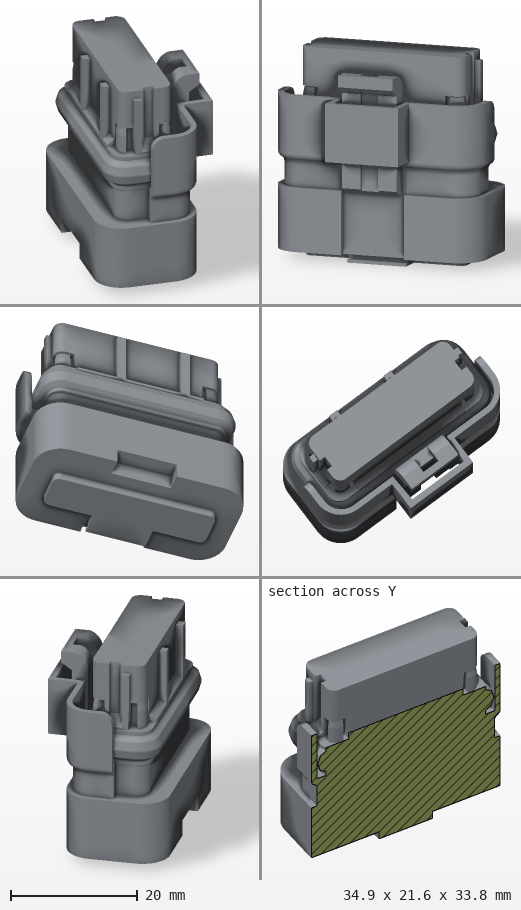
import cadquery as cq
import math

base_bottom_z = 1.43
base_top_z = 11.75
shroud_floor_z = 17.35
shroud_top_z = 26.63
collar_top_z = 23.05
rib_top_z = 32.45
core_top_z = 33.8

base_length = 34.9
base_depth = 16.7
base_radius = 4.55
notch_width = 9.98
notch_top_z = 4.05
notch_depth = 2.8

plug_length = 27.1
plug_depth = 6.07
plug_radius = 1.05
tongue_width = 9.98
tongue_end_y = 5.62
lip_end_y = 6.7
lip_height = 0.5

neck_length = 29.65
neck_depth = 10.0
collar_length = 30.1
collar_depth = 11.03
collar_radius = 2.35
core_length = 27.57
core_depth = 8.65
core_radius = 1.5

wedge_toe_z = 23.42
wedge_half_length = 10.65
wedge_rise = 0.9
side_wedge_reach = 14.7
side_wedge_half_depth = 2.13
side_wedge_top_z = 25.0
side_rib_width = 1.1
front_ribs = ((-3.25, 1.43), (7.45, 1.55))
end_slot_depth = 0.98
end_slot_width = 1.85
end_slot_y = 0.45

recess_top_z = 27.43
recess_flare = 0.2
recess_depth = 1.1
pillar_radius = 0.7
post_inner_x = 11.45
post_inner_y = 2.8
post_back_y = 3.35
post_shoulder_z = 26.0
post_top_z = 27.22
post_taper = 11.0

seal_mid_z = 20.2
seal_steps = ((0.0, 2.15), (0.95, 1.5), (1.0, 1.35), (1.4, 0.1))

shroud_inner_length = 32.75
shroud_inner_y = 7.45
shroud_inner_radius = 3.35
shroud_nose_radius = 1.95
waist_inset = 1.0
waist_curve_top_z = 17.15
waist_curve_bottom_z = 15.43

tower_width = 12.32
tower_end_y = 13.25
tower_bottom_z = 17.25
tower_wall = 1.0
slot_outer_width = 10.2
slot_inner_width = 10.75
slot_inner_y = 7.1
latch_width = 9.2
latch_outer_y = 9.77
latch_hook_y = 11.5
latch_top_z = 30.95
latch_nose_z = 29.07
latch_hook_root_z = 27.9
latch_back_top_y = 9.15
latch_back_middle = (8.03, 30.35)
latch_back_bottom_z = 28.72
latch_foot_y = base_depth / 2
latch_foot_z = 12.53
window_width = 3.0
window_outer_y = 10.45
window_step_y = 9.18
window_step_z = 28.6


def rounded_block(length, depth, radius, bottom_z, top_z):
    """Upright block with rounded vertical edges, centred on the Z axis."""
    block = cq.Workplane("XY").workplane(offset=bottom_z).rect(length, depth)
    return block.extrude(top_z - bottom_z).edges("|Z").fillet(radius)


def box_between(x0, x1, y0, y1, z0, z1):
    """Axis-aligned box given by its limits."""
    return cq.Workplane("XY").box(x1 - x0, y1 - y0, z1 - z0, centered=False).translate((x0, y0, z0))


def four_corners(corner):
    """The given corner shape together with its mirror images in X and Y."""
    pair = corner.union(corner.mirror("YZ"))
    return pair.union(pair.mirror("XZ"))


def make_base():
    base = rounded_block(base_length, base_depth, base_radius, base_bottom_z, base_top_z)
    half_notch = notch_width / 2
    front_y = -base_depth / 2
    notch = box_between(-half_notch, half_notch, front_y, front_y + notch_depth, base_bottom_z, notch_top_z)
    return base.cut(notch)


def make_plug():
    plug = rounded_block(plug_length, plug_depth, plug_radius, 0, base_bottom_z)
    half_tongue = tongue_width / 2
    tongue = box_between(-half_tongue, half_tongue, 0, tongue_end_y, 0, base_bottom_z)
    lip = box_between(-half_tongue, half_tongue, 0, lip_end_y, 0, lip_height)
    return plug.union(tongue).union(lip)


def seal_outline(offset):
    """Closed rounded rectangle lying outside the collar by the given offset."""
    outline = cq.Sketch().rect(collar_length + 2 * offset, collar_depth + 2 * offset)
    return outline.vertices().fillet(collar_radius + offset)


def make_seal():
    lower_half = [(offset, -height) for offset, height in seal_steps]
    levels = lower_half + list(reversed(seal_steps))
    seal = cq.Workplane("XY")
    for (offset_a, z_a), (offset_b, z_b) in zip(levels, levels[1:]):
        layer = cq.Workplane("XY").placeSketch(
            seal_outline(offset_a).moved(cq.Location(cq.Vector(0, 0, seal_mid_z + z_a))),
            seal_outline(offset_b).moved(cq.Location(cq.Vector(0, 0, seal_mid_z + z_b))),
        )
        seal = seal.union(layer.loft(ruled=True))
    return seal


def make_wedges():
    """Sloped skirts where the connector body meets the collar."""
    toe_y = collar_depth / 2
    long_wedge = (
        cq.Workplane("YZ").workplane(offset=-wedge_half_length)
        .polyline([
            (-toe_y, collar_top_z), (-toe_y, wedge_toe_z),
            (-core_depth / 2, wedge_toe_z + wedge_rise),
            (core_depth / 2, wedge_toe_z + wedge_rise),
            (toe_y, wedge_toe_z), (toe_y, collar_top_z),
        ]).close().extrude(2 * wedge_half_length)
    )
    slot_floor_x = core_length / 2 - end_slot_depth
    end_wedges = (
        cq.Workplane("XZ").workplane(offset=-side_wedge_half_depth)
        .polyline([
            (-side_wedge_reach, collar_top_z), (-side_wedge_reach, wedge_toe_z),
            (-slot_floor_x, side_wedge_top_z), (slot_floor_x, side_wedge_top_z),
            (side_wedge_reach, wedge_toe_z), (side_wedge_reach, collar_top_z),
        ]).close().extrude(2 * side_wedge_half_depth)
    )
    return long_wedge.union(end_wedges)


def make_ribs():
    rib_root_y = -core_depth / 2 + core_radius
    rib_y = -side_wedge_half_depth
    ribs = box_between(
        -side_wedge_reach, side_wedge_reach, rib_y, rib_y + side_rib_width, collar_top_z, rib_top_z
    )
    for centre_x, width in front_ribs:
        left_x = centre_x - width / 2
        ribs = ribs.union(box_between(
            left_x, left_x + width, -collar_depth / 2, rib_root_y, collar_top_z, rib_top_z
        ))
    return ribs


def make_corner_recesses():
    """Flared spaces cut under the four corners, leaving an inset pillar inside."""
    outer_x = collar_length / 2
    outer_y = collar_depth / 2
    height = recess_top_z - collar_top_z

    def corner_rect(inner_x, inner_y):
        rectangle = cq.Sketch().push([((outer_x + inner_x) / 2, (outer_y + inner_y) / 2)])
        return rectangle.rect(outer_x - inner_x, outer_y - inner_y)

    bottom = corner_rect(wedge_half_length - recess_flare / 2, side_wedge_half_depth - recess_flare)
    top = corner_rect(wedge_half_length + recess_flare / 2, side_wedge_half_depth)
    corner = cq.Workplane("XY").placeSketch(bottom, top.moved(cq.Location(cq.Vector(0, 0, height)))).loft()
    recesses = four_corners(corner.translate((0, 0, collar_top_z)))
    pillar_length = core_length - 2 * recess_depth
    pillar_depth = core_depth - 2 * recess_depth
    pillar = rounded_block(pillar_length, pillar_depth, pillar_radius, collar_top_z, recess_top_z)
    return recesses.cut(pillar)


def make_posts():
    """Corner posts standing in the recesses; their outer faces lean inward above a shoulder."""
    outer_x = core_length / 2
    outer_y = core_depth / 2
    round_x = outer_x - core_radius
    round_y = outer_y - core_radius
    back_angle = math.asin((post_back_y - round_y) / core_radius)
    middle_angle = (back_angle + math.pi / 2) / 2

    def on_round(angle):
        return (round_x + core_radius * math.cos(angle), round_y + core_radius * math.sin(angle))

    back_x = outer_x - recess_depth
    outline = (
        cq.Workplane("XY").workplane(offset=collar_top_z)
        .moveTo(post_inner_x, post_inner_y).lineTo(post_inner_x, outer_y).lineTo(round_x, outer_y)
        .threePointArc(on_round(middle_angle), on_round(back_angle))
        .lineTo(back_x, post_inner_y).close()
    )
    posts = four_corners(outline.extrude(post_top_z - collar_top_z))
    shank = rounded_block(core_length, core_depth, core_radius, collar_top_z, post_shoulder_z)
    tip = shank.faces(">Z").wires().toPending().workplane()
    envelope = tip.extrude(post_top_z - post_shoulder_z, taper=post_taper)
    return posts.intersect(envelope)


def make_core():
    neck = rounded_block(neck_length, neck_depth, collar_radius, base_top_z, shroud_floor_z)
    collar = rounded_block(collar_length, collar_depth, collar_radius, shroud_floor_z, collar_top_z)
    body = rounded_block(core_length, core_depth, core_radius, collar_top_z, core_top_z)
    slot_inner_x = core_length / 2 - end_slot_depth
    slot_y = end_slot_y - end_slot_width / 2
    for start_x in (-core_length / 2, slot_inner_x):
        body = body.cut(box_between(
            start_x, start_x + end_slot_depth, slot_y, slot_y + end_slot_width, collar_top_z, core_top_z
        ))
    body = body.union(make_wedges()).union(make_ribs())
    body = body.cut(make_corner_recesses()).union(make_posts())
    return neck.union(collar).union(body).union(make_seal())


def make_waist_groove():
    """Band swept round the shroud; an S-curve leads from the wall to the waist."""
    outer_x = base_length / 2
    outer_y = base_depth / 2
    waist_x = outer_x - waist_inset
    clear_x = outer_x + waist_inset
    middle_z = (waist_curve_top_z + waist_curve_bottom_z) / 2
    section = (
        cq.Workplane("XZ").moveTo(clear_x, base_top_z).lineTo(waist_x, base_top_z)
        .lineTo(waist_x, waist_curve_bottom_z)
        .tangentArcPoint((outer_x - waist_inset / 2, middle_z), relative=False)
        .tangentArcPoint((outer_x, waist_curve_top_z), relative=False)
        .lineTo(clear_x, waist_curve_top_z).close()
    )
    corner_x = outer_x - base_radius
    corner_y = outer_y - base_radius
    diagonal = base_radius * math.sqrt(0.5)
    path = (
        cq.Workplane("XY").moveTo(outer_x, 0).lineTo(outer_x, corner_y)
        .threePointArc((corner_x + diagonal, corner_y + diagonal), (corner_x, outer_y))
        .lineTo(-corner_x, outer_y)
        .threePointArc((-corner_x - diagonal, corner_y + diagonal), (-outer_x, corner_y))
        .lineTo(-outer_x, 0)
    )
    return section.sweep(path)


def make_shroud():
    outer = rounded_block(base_length, base_depth, base_radius, base_top_z, shroud_top_z)
    inner = rounded_block(
        shroud_inner_length, 2 * shroud_inner_y, shroud_inner_radius, shroud_floor_z, shroud_top_z
    )
    nose_z = shroud_top_z - shroud_nose_radius
    side_profile = (
        cq.Workplane("YZ").workplane(offset=-base_length / 2).moveTo(0, base_top_z).lineTo(0, nose_z)
        .tangentArcPoint((shroud_nose_radius, shroud_top_z), relative=False)
        .lineTo(base_depth / 2, shroud_top_z).lineTo(base_depth / 2, base_top_z).close()
        .extrude(base_length)
    )
    half_tower = tower_width / 2
    tower = box_between(-half_tower, half_tower, shroud_inner_y, tower_end_y, tower_bottom_z, shroud_top_z)
    return outer.cut(inner).intersect(side_profile).cut(make_waist_groove()).union(tower)


def make_latch_slot():
    """Tapered opening for the latch, running the full height of tower and base."""
    half_inner = slot_inner_width / 2
    half_outer = slot_outer_width / 2
    outer_y = tower_end_y - tower_wall
    return (
        cq.Workplane("XY").workplane(offset=base_bottom_z)
        .polyline([
            (-half_inner, slot_inner_y), (half_inner, slot_inner_y),
            (half_outer, outer_y), (-half_outer, outer_y),
        ]).close().extrude(shroud_top_z - base_bottom_z)
    )


def make_latch():
    latch = (
        cq.Workplane("YZ").workplane(offset=-latch_width / 2)
        .moveTo(slot_inner_y, base_top_z).lineTo(slot_inner_y, latch_back_bottom_z)
        .threePointArc(latch_back_middle, (latch_back_top_y, latch_top_z))
        .lineTo(latch_hook_y, latch_top_z).lineTo(latch_hook_y, latch_nose_z)
        .lineTo(latch_outer_y, latch_hook_root_z).lineTo(latch_outer_y, latch_foot_z)
        .lineTo(latch_foot_y, base_top_z).close().extrude(latch_width)
    )
    half_window = window_width / 2
    window = box_between(
        -half_window, half_window, window_step_y, window_outer_y, base_top_z, latch_top_z
    )
    step = box_between(
        -half_window, half_window, slot_inner_y, window_step_y, window_step_z, latch_top_z
    )
    return latch.cut(window).cut(step)


housing = make_base().union(make_plug()).union(make_shroud()).cut(make_latch_slot())
result = housing.union(make_core()).union(make_latch())